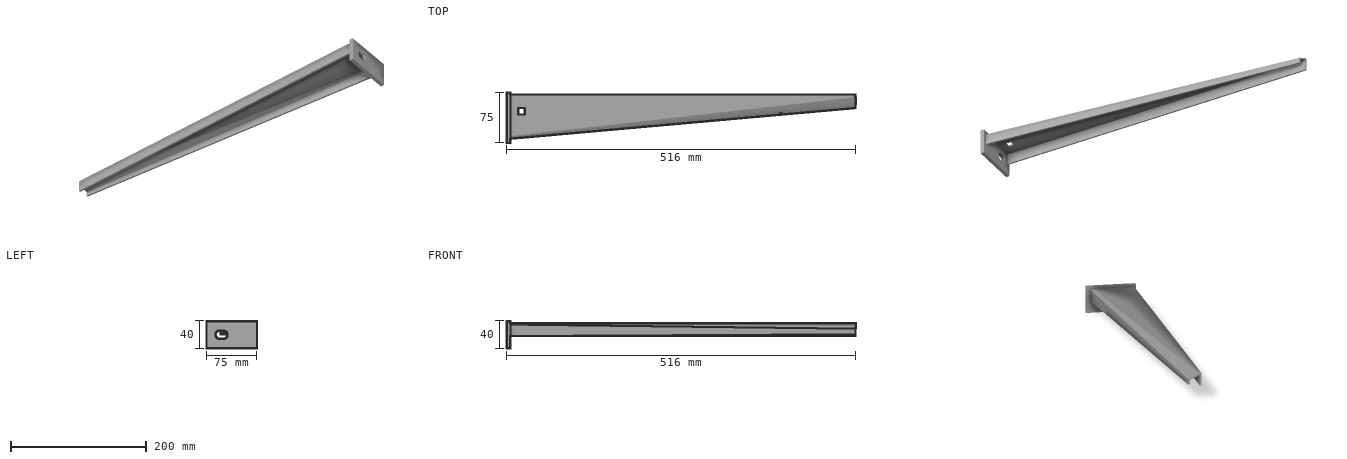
import cadquery as cq
import math

PLATE_THICKNESS = 5.5
PLATE_WIDTH = 75.0
PLATE_HEIGHT = 40.0
SLOT_LENGTH = 17.5
SLOT_HEIGHT = 12.0
SLOT_Y = -22.0

SHEET = 2.5
ARM_LENGTH = 516.0
ARM_BACK_Y = -3.0
ARM_TOP_Z = -3.0
BACK_FLANGE_HEIGHT = 19.0
BEND_RADIUS = 3.5

ROOT_BEND_Y = -65.0
ROOT_LIP_Y = -68.5
ROOT_LIP_TOP_Z = -5.0
ROOT_LIP_BOTTOM_Z = ARM_TOP_Z - BACK_FLANGE_HEIGHT
TIP_BEND_Y = -7.5
TIP_LIP_Y = -23.0
TIP_LIP_TOP_Z = -11.5
TIP_LIP_BOTTOM_Z = -19.5
TIP_SETBACK = 1.0

WEB_HOLE_SIZE = 9.5
WEB_HOLE_X = 22.0
WEB_HOLE_Y = -28.0


def make_plate():
    plate = cq.Workplane("XY").box(PLATE_THICKNESS, PLATE_WIDTH, PLATE_HEIGHT)
    plate = plate.translate((PLATE_THICKNESS / 2, -PLATE_WIDTH / 2, -PLATE_HEIGHT / 2))
    slot = (
        cq.Workplane("YZ")
        .center(SLOT_Y, -PLATE_HEIGHT / 2)
        .slot2D(SLOT_LENGTH, SLOT_HEIGHT)
        .extrude(PLATE_THICKNESS)
    )
    return plate.cut(slot)


def front_section(x, bend_y, lip_y, lip_top_z, lip_bottom_z):
    """Closed wire of the web, sloping strip and lip, in the plane at x."""
    slope = math.atan2(ARM_TOP_Z - lip_top_z, bend_y - lip_y)
    inner_lip_y = lip_y + SHEET
    bend_inset = SHEET * math.tan(slope / 2)
    lip_inset = SHEET * math.tan((math.pi / 2 - slope) / 2)
    tangent = BEND_RADIUS * math.tan(slope / 2)
    bend_start = (bend_y + tangent, ARM_TOP_Z)
    bend_middle = (
        bend_start[0] - BEND_RADIUS * math.sin(slope / 2),
        ARM_TOP_Z - BEND_RADIUS * (1 - math.cos(slope / 2)),
    )
    bend_end = (bend_y - tangent * math.cos(slope), ARM_TOP_Z - tangent * math.sin(slope))
    return (
        cq.Workplane("YZ", origin=(x, 0, 0))
        .moveTo(ARM_BACK_Y, ARM_TOP_Z)
        .lineTo(*bend_start)
        .threePointArc(bend_middle, bend_end)
        .lineTo(lip_y, lip_top_z)
        .lineTo(lip_y, lip_bottom_z)
        .lineTo(inner_lip_y, lip_bottom_z)
        .lineTo(inner_lip_y, lip_top_z - lip_inset)
        .lineTo(bend_y + bend_inset, ARM_TOP_Z - SHEET)
        .lineTo(ARM_BACK_Y, ARM_TOP_Z - SHEET)
        .close()
        .val()
    )


def make_arm():
    root = front_section(PLATE_THICKNESS, ROOT_BEND_Y, ROOT_LIP_Y, ROOT_LIP_TOP_Z, ROOT_LIP_BOTTOM_Z)
    tip = front_section(ARM_LENGTH, TIP_BEND_Y, TIP_LIP_Y, TIP_LIP_TOP_Z, TIP_LIP_BOTTOM_Z)
    arm = cq.Workplane(cq.Solid.makeLoft([root, tip], True))

    back_flange = cq.Workplane("XY").box(
        ARM_LENGTH - PLATE_THICKNESS, SHEET, BACK_FLANGE_HEIGHT, centered=False
    ).translate((PLATE_THICKNESS, ARM_BACK_Y - SHEET, ARM_TOP_Z - BACK_FLANGE_HEIGHT))
    arm = arm.union(back_flange)

    web_hole = cq.Workplane("XY").center(WEB_HOLE_X, WEB_HOLE_Y).rect(WEB_HOLE_SIZE, WEB_HOLE_SIZE)
    arm = arm.cut(web_hole.extrude(-BACK_FLANGE_HEIGHT))
    return trim_tip(arm)


def trim_tip(arm):
    """Slant the bent edge back from the foremost corner and cut the web end square."""
    end_x = ARM_LENGTH - TIP_SETBACK
    waste = (
        cq.Workplane("XY")
        .polyline([
            (end_x, TIP_LIP_Y),
            (ARM_LENGTH, TIP_BEND_Y),
            (end_x, TIP_BEND_Y),
            (end_x, 0),
            (ARM_LENGTH + TIP_SETBACK, 0),
            (ARM_LENGTH + TIP_SETBACK, -PLATE_WIDTH),
            (end_x, -PLATE_WIDTH),
        ])
        .close()
        .extrude(-PLATE_HEIGHT)
    )
    return arm.cut(waste)


plate = make_plate()
arm = make_arm()
result = cq.Compound.makeCompound([plate.val(), arm.val()])